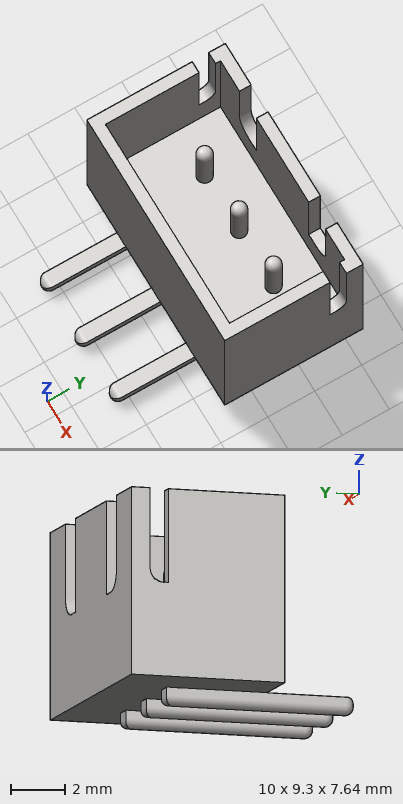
import cadquery as cq

width = 10.0
depth = 5.9
height = 7.0
wall = 0.5
floor_thickness = 2.0
back_y = depth / 2

slot_depth = height / 2
slot_floor_z = height - slot_depth
side_slot_width = 0.7
side_slot_setback = 0.71
side_slot_radius = 0.5
back_slot_width = 1.22
back_slot_inset = 1.88
back_slot_radius = 0.7

pin_count = 3
pin_pitch = 2.5
pin_diameter = 0.64
pin_radius = pin_diameter / 2
pin_setback = 2.35
pin_y = back_y - pin_setback
pin_top_z = 4.54
pin_end_radius = 0.26
leg_overhang = 3.4
leg_tip_y = -back_y - leg_overhang
leg_rear_y = pin_y + pin_radius
tip_center_y = leg_tip_y + pin_radius
bar_length = leg_rear_y - tip_center_y
leg_axis_z = -pin_radius

pin_positions = [(i - (pin_count - 1) / 2) * pin_pitch for i in range(pin_count)]


def make_box(x_size, y_size, z_size):
    """Box centred in X and Y with its base at Z = 0."""
    return cq.Workplane("XY").box(x_size, y_size, z_size, centered=(True, True, False))


def cut_side_slots(body):
    """One slot across both end walls, rounded at its back lower corner."""
    slot_y = back_y - side_slot_setback - side_slot_width / 2
    cutter = (
        make_box(width, side_slot_width, slot_depth)
        .edges("<Z and >Y")
        .fillet(side_slot_radius)
        .translate((0, slot_y, slot_floor_z))
    )
    return body.cut(cutter)


def cut_back_slots(body):
    """A mirrored pair of slots in the back wall, each rounded at its outer lower corner."""
    slot_x = width / 2 - back_slot_inset - back_slot_width / 2
    right_cutter = (
        make_box(back_slot_width, wall, slot_depth)
        .edges("<Z and >X")
        .fillet(back_slot_radius)
        .translate((slot_x, back_y - wall / 2, slot_floor_z))
    )
    return body.cut(right_cutter).cut(right_cutter.mirror("YZ"))


def make_housing():
    body = make_box(width, depth, height)
    cavity = make_box(width - 2 * wall, depth - 2 * wall, height - floor_thickness)
    body = body.cut(cavity.translate((0, 0, floor_thickness)))
    body = cut_side_slots(body)
    body = cut_back_slots(body)
    pin_holes = (
        cq.Workplane("XY")
        .pushPoints([(x, pin_y) for x in pin_positions])
        .circle(pin_radius)
        .extrude(floor_thickness)
    )
    return body.cut(pin_holes)


def make_leg_bar():
    """Straight bar with a flat top and half-round underside, its rear lower edge rounded."""
    bar = (
        cq.Workplane("XZ", origin=(0, leg_rear_y, leg_axis_z))
        .moveTo(-pin_radius, 0)
        .lineTo(-pin_radius, pin_radius)
        .lineTo(pin_radius, pin_radius)
        .lineTo(pin_radius, 0)
        .threePointArc((0, -pin_radius), (-pin_radius, 0))
        .close()
        .extrude(bar_length)
    )
    rounded_envelope = (
        make_box(pin_diameter, bar_length, pin_diameter)
        .edges("<Z and >Y")
        .fillet(pin_end_radius)
        .translate((0, leg_rear_y - bar_length / 2, -pin_diameter))
    )
    return bar.intersect(rounded_envelope)


def make_leg_tip():
    """Rounded tip: two crossing cylinders above the leg axis, a quarter ball below it."""
    center = (0, tip_center_y, leg_axis_z)
    front_half = (
        cq.Workplane("XY", origin=center)
        .box(pin_diameter, pin_radius, pin_diameter)
        .translate((0, -pin_radius / 2, 0))
    )
    upright = cq.Workplane("XY", origin=center).circle(pin_radius).extrude(pin_radius)
    crosswise = cq.Workplane("YZ", origin=center).circle(pin_radius).extrude(pin_radius, both=True)
    upper = upright.intersect(crosswise).intersect(front_half)
    quarter_ball = (
        cq.Workplane("XY", origin=center)
        .moveTo(-pin_radius, 0)
        .threePointArc((0, -pin_radius), (pin_radius, 0))
        .close()
        .revolve(90, (0, 0, 0), (1, 0, 0))
    )
    return upper.union(quarter_ball)


def make_pin(x):
    """Right-angle pin whose post stands at the given X."""
    post = (
        cq.Workplane("XY", origin=(0, pin_y, leg_axis_z))
        .circle(pin_radius)
        .extrude(pin_top_z - leg_axis_z)
        .faces(">Z")
        .edges()
        .fillet(pin_end_radius)
    )
    return post.union(make_leg_bar()).union(make_leg_tip()).translate((x, 0, 0))


housing = make_housing()
pins = [make_pin(x) for x in pin_positions]

result = cq.Compound.makeCompound([housing.val(), *[pin.solids().val() for pin in pins]])